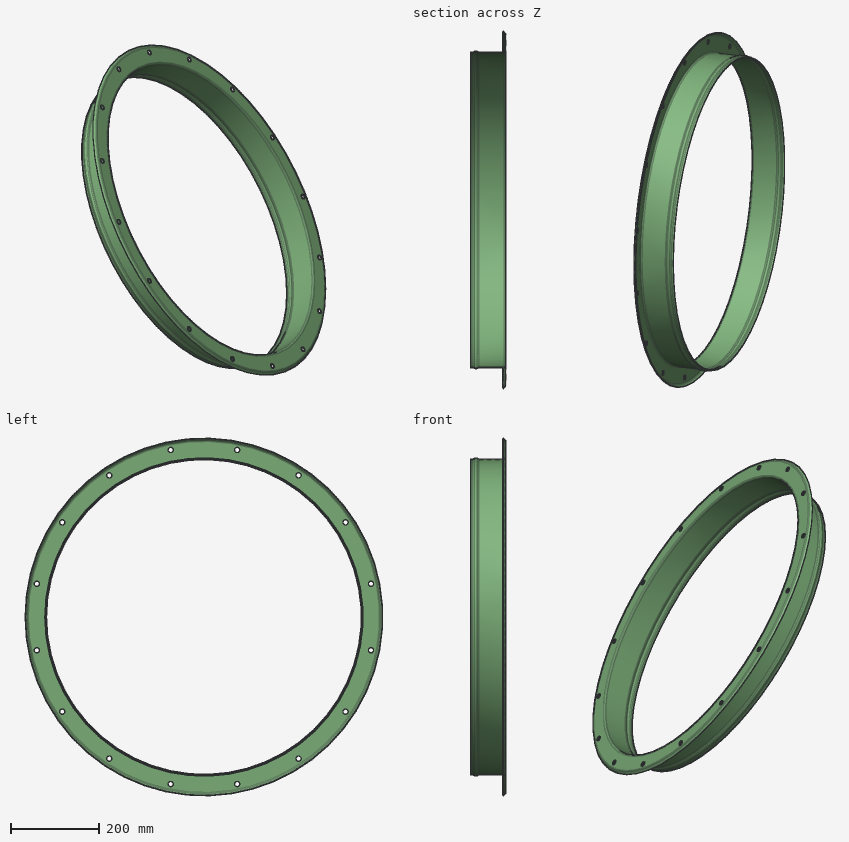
import cadquery as cq
import math

width = 80.0
outer_radius = 405.0
sheet = 2.0

tube_outer_radius = 358.0
tube_mid_radius = tube_outer_radius - sheet / 2
bead_position = 12.0
bead_half_width = 7.0
bead_height = 2.5

bend_radius = 2.5

rim_angle = math.radians(45)
rim_lip_length = 6.5

hole_count = 16
hole_diameter = 11.0
bolt_circle_radius = 385.5

left_end = -width / 2
right_end = width / 2
bead_x = left_end + bead_position

bead_radius = (bead_half_width**2 + bead_height**2) / (4 * bead_height)
bead_angle = math.asin(bead_half_width / (2 * bead_radius))
crown_center = (bead_x, tube_mid_radius + bead_height - bead_radius)
left_foot_center = (bead_x - bead_half_width, tube_mid_radius + bead_radius)
right_foot_center = (bead_x + bead_half_width, tube_mid_radius + bead_radius)

flange_bend_center = (right_end - sheet - bend_radius, tube_outer_radius + bend_radius)

rim_lip_rise = rim_lip_length * math.cos(rim_angle)
rim_lip_run = rim_lip_length * math.sin(rim_angle)
rim_bend_rise = (bend_radius + sheet) * math.sin(rim_angle)
rim_bend_center = (right_end - sheet - bend_radius, outer_radius - rim_lip_rise - rim_bend_rise)


def polar(center, radius, angle):
    """Point at the given angle, measured from the +X direction."""
    return (center[0] + radius * math.cos(angle), center[1] + radius * math.sin(angle))


def sheet_face(offset):
    """One face of the sheet, offset from its middle toward the outside of the tube.

    Returns the start point and a list of (arc midpoint or None, end point).
    """
    start = (left_end, tube_mid_radius + offset)
    steps = []

    def add_arc(center, radius, first, last):
        steps.append((None, polar(center, radius, first)))
        steps.append((polar(center, radius, (first + last) / 2), polar(center, radius, last)))

    up = math.pi / 2
    foot_radius = bead_radius - offset
    crown_radius = bead_radius + offset
    add_arc(left_foot_center, foot_radius, -up, -up + bead_angle)
    steps.append((polar(crown_center, crown_radius, up), polar(crown_center, crown_radius, up - bead_angle)))
    foot_mid = polar(right_foot_center, foot_radius, -up - bead_angle / 2)
    steps.append((foot_mid, polar(right_foot_center, foot_radius, -up)))

    bend_face_radius = bend_radius + sheet / 2 - offset
    add_arc(flange_bend_center, bend_face_radius, -up, 0)
    add_arc(rim_bend_center, bend_face_radius, 0, rim_angle)
    lip_start = polar(rim_bend_center, bend_face_radius, rim_angle)
    steps.append((None, (lip_start[0] - rim_lip_run, lip_start[1] + rim_lip_rise)))
    return start, steps


def make_ring():
    """Trace the outside of the sheet, return along its inside, and revolve."""
    start, outside = sheet_face(sheet / 2)
    inside_start, inside = sheet_face(-sheet / 2)
    profile = cq.Workplane("XY").moveTo(*start)
    inside_points = [inside_start] + [end for _, end in inside]
    inside_arcs = [middle for middle, _ in inside]
    steps = outside + [(None, inside_points[-1])]
    steps += list(zip(reversed(inside_arcs), reversed(inside_points[:-1])))
    for middle, end in steps:
        if middle is None:
            profile = profile.lineTo(*end)
        else:
            profile = profile.threePointArc(middle, end)
    return profile.close().revolve(360, (0, 0, 0), (1, 0, 0))


def make_bolt_holes():
    """Cutters through the flange, parallel to the ring axis."""
    half_pitch = 180 / hole_count
    return (
        cq.Workplane("YZ")
        .polarArray(bolt_circle_radius, half_pitch, 360, hole_count)
        .circle(hole_diameter / 2)
        .extrude(width)
    )


result = make_ring().cut(make_bolt_holes())